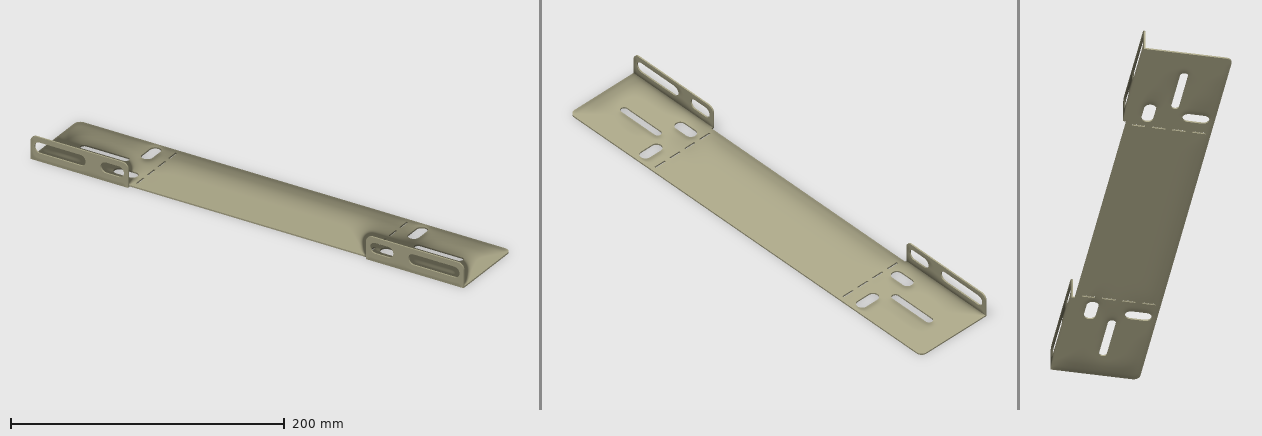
import cadquery as cq

length = 373.0
depth = 66.0
height = 20.0
thickness = 1.2
back_y = depth / 2
front_y = -depth / 2

plate_depth = 63.5
plate_front_y = back_y - plate_depth
flange_length = 84.0
flange_mid_x = (length - flange_length) / 2
corner_radius = 5.0

long_slot_length = 41.5
long_slot_width = 6.0
long_slot_x = 143.75
long_slot_from_back = 31.5
long_slot_y = back_y - long_slot_from_back
short_slot_length = 20.0
short_slot_width = 9.0
short_slot_x = 114.75
short_slot_offset_y = 17.5

flange_slot_z = 11.25
flange_slot_width = 9.0
flange_long_slot_length = 44.0
flange_long_slot_x = 161.0
flange_short_slot_length = 20.0
flange_short_slot_x = 116.0

perforation_x = 99.5
perforation_mid_from_back = 31.25
perforation_mid_y = back_y - perforation_mid_from_back
perforation_width = 1.5
perforation_length = 10.0
perforation_pitch = 15.0
perforation_count = 4


def make_plate():
    """Base plate with rounded back corners."""
    plate = (
        cq.Workplane("XY")
        .center(0, (back_y + plate_front_y) / 2)
        .rect(length, plate_depth)
        .extrude(thickness)
    )
    return plate.edges("|Z and >Y").fillet(corner_radius)


def make_flange(side):
    """Upright flange at one end, with the strip that joins it to the plate."""
    upright = (
        cq.Workplane("XY")
        .center(side * flange_mid_x, front_y + thickness / 2)
        .rect(flange_length, thickness)
        .extrude(height)
        .edges("|Y and >Z")
        .fillet(corner_radius)
    )
    joining_strip = (
        cq.Workplane("XY")
        .center(side * flange_mid_x, (front_y + plate_front_y) / 2)
        .rect(flange_length, plate_front_y - front_y)
        .extrude(thickness)
    )
    return upright.union(joining_strip)


def plate_slot(x, y, slot_length, slot_width, angle=0):
    """Cutter for an oblong hole through the base plate."""
    return cq.Workplane("XY").center(x, y).slot2D(slot_length, slot_width, angle).extrude(thickness)


def flange_slot(x, slot_length):
    """Cutter for an oblong hole through a flange."""
    return (
        cq.Workplane("XZ", origin=(x, front_y, flange_slot_z))
        .slot2D(slot_length, flange_slot_width)
        .extrude(-thickness)
    )


def perforation_row(x):
    """Cutter for one row of narrow rectangular cuts through the base plate."""
    return (
        cq.Workplane("XY")
        .center(x, perforation_mid_y)
        .rarray(1, perforation_pitch, 1, perforation_count)
        .rect(perforation_width, perforation_length)
        .extrude(thickness)
    )


result = make_plate()
for side in (-1, 1):
    short_x = side * short_slot_x
    back_slot_y = long_slot_y + short_slot_offset_y
    front_slot_y = long_slot_y - short_slot_offset_y
    result = (
        result.union(make_flange(side))
        .cut(plate_slot(short_x, back_slot_y, short_slot_length, short_slot_width, angle=90))
        .cut(plate_slot(short_x, front_slot_y, short_slot_length, short_slot_width))
        .cut(plate_slot(side * long_slot_x, long_slot_y, long_slot_length, long_slot_width))
        .cut(flange_slot(side * flange_long_slot_x, flange_long_slot_length))
        .cut(flange_slot(side * flange_short_slot_x, flange_short_slot_length))
        .cut(perforation_row(side * perforation_x))
    )